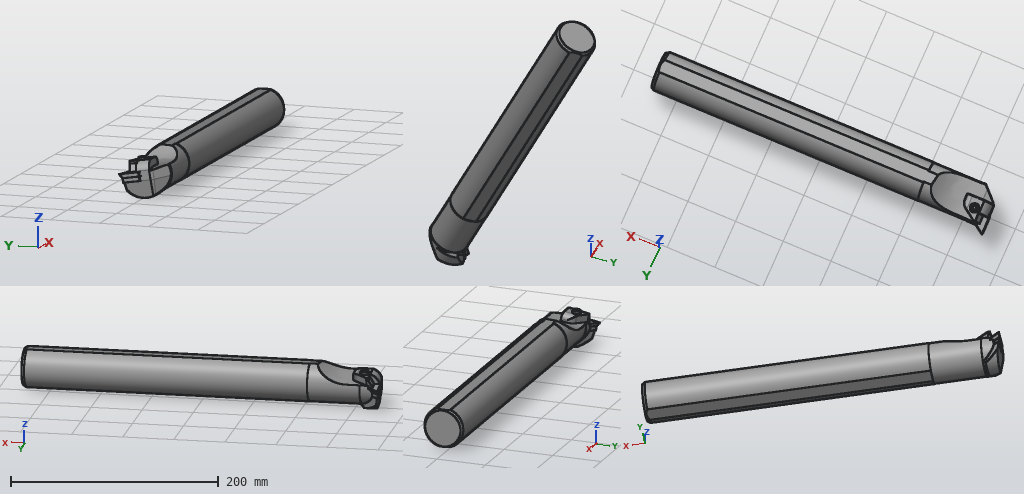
import cadquery as cq
import math

bar_length = 350.01
shank_radius = 20.0
shank_start = 70.0
flat_height = 18.87
neck_radius = 19.75
end_chamfer_length = 3.0
end_chamfer_depth = 1.8

head_radius = 22.61
head_center_y = 4.0
head_end = 18.8
head_chamfer = 3.0
collar_radius = 20.0

tip_y = 27.06
seat_angle = 9.5
insert_length = 19.5
insert_width = 10.0
insert_thickness = 4.3
insert_point_angle = 55.0
insert_relief = 2.6
point_drop = insert_width / math.tan(math.radians(insert_point_angle))

shim_thickness = 4.5
shim_setback = 0.3
shim_bottom = -insert_thickness - shim_thickness

front_setback = 1.0
front_facet_end_y = -3.5
narrow_facet_end_x = 3.0
narrow_facet_end_y = -6.5
nose_relief_angle = 10.0

deck_height = 2.0
deck_start = 12.0
scoop_start = 31.0
scoop_radius = 43.0
scoop_turn = 60.0

clamp_back = 28.0
clamp_side_y = -3.5
clamp_step_y = 10.0
clamp_top = 10.0
clamp_front_rise = 9.0
clamp_front_run = 8.5
clamp_front_bulge = 1.6
clamp_back_drop = 5.5
clamp_back_run = 7.5
clamp_back_bulge = 1.8
clamp_corner_radius = 10.0
finger_front = 6.0
finger_edge = 10.0
finger_back = 12.0
finger_y = 18.5
finger_top = 7.5

screw_x = 15.5
screw_y = 7.0
screw_diameter = 6.7
socket_diameter = 3.9
screw_rise = 2.3
socket_depth = 3.0
recess_diameter = 8.9
recess_depth = 1.0

reach = 100.0


def on_seat(shape):
    """Tilt a shape about the insert tip, from level to the slope of the insert seat."""
    return shape.rotate((0, tip_y, 0), (1, tip_y, 0), -seat_angle)


def level_plan(height):
    """Level drawing plane at the given height."""
    return cq.Workplane("XY").workplane(offset=height)


def upright_profile():
    """Start of a lengthwise profile that is extruded right across the part."""
    return cq.Workplane("XZ", origin=(0, reach, 0))


def insert_outline(relief):
    """Corners of the insert parallelogram, with its short side at the tip moved back by the relief."""
    return [
        (0, tip_y - relief),
        (0, tip_y - insert_length),
        (insert_width, tip_y - insert_length - point_drop),
        (insert_width, tip_y - point_drop - relief),
    ]


def make_insert():
    """Insert with parallelogram faces, its short side at the tip sloping in under the top face."""
    body = (
        level_plan(0)
        .polyline(insert_outline(0))
        .close()
        .workplane(offset=-insert_thickness)
        .polyline(insert_outline(insert_relief))
        .close()
        .loft(ruled=True, combine=True)
    )
    return on_seat(body)


def make_top_flat():
    """Everything below the flat on top of the bar."""
    return cq.Workplane("XY", origin=(0, 0, flat_height)).rect(2 * bar_length, reach).extrude(-reach)


def make_bar():
    """Round shank with a flat on top and below, and a slightly thinner neck in front of it."""
    shank = (
        cq.Workplane("XY")
        .moveTo(shank_start, 0)
        .lineTo(shank_start, shank_radius)
        .lineTo(bar_length - end_chamfer_length, shank_radius)
        .lineTo(bar_length, shank_radius - end_chamfer_depth)
        .lineTo(bar_length, 0)
        .close()
        .revolve(360, (0, 0, 0), (1, 0, 0))
    )
    shank_flats = cq.Workplane("XY").box(2 * bar_length, reach, 2 * flat_height)
    neck = cq.Workplane("YZ").circle(neck_radius).extrude(shank_start)
    return shank.intersect(shank_flats).union(neck.intersect(make_top_flat()))


def make_head():
    """Round head cut off along the short side of the insert, with a collar around the bar axis."""
    head = (
        cq.Workplane("YZ")
        .center(head_center_y, 0)
        .circle(head_radius)
        .extrude(head_end)
        .faces(">X")
        .chamfer(head_chamfer)
    )
    collar = cq.Workplane("YZ").circle(collar_radius).extrude(head_end)
    side_y = tip_y - insert_relief
    side_end_y = side_y - point_drop * head_end / insert_width
    side_limit = (
        level_plan(-reach)
        .polyline([(0, side_y), (head_end, side_end_y), (head_end, -reach), (0, -reach)])
        .close()
        .extrude(2 * reach)
    )
    return head.intersect(on_seat(side_limit)).union(collar).intersect(make_top_flat())


def make_nose_limit():
    """Front facets of the nose: upright above the shim bottom and relieved below it."""
    facet_run = reach + narrow_facet_end_y
    outline = [
        (front_setback, reach),
        (front_setback, front_facet_end_y),
        (narrow_facet_end_x, narrow_facet_end_y),
        (narrow_facet_end_x + facet_run, narrow_facet_end_y - facet_run),
        (2 * bar_length, narrow_facet_end_y - facet_run),
        (2 * bar_length, reach),
    ]
    upper = level_plan(shim_bottom).polyline(outline).close().extrude(reach)
    lower = (
        level_plan(shim_bottom).polyline(outline).close().extrude(-head_radius * 2, taper=nose_relief_angle)
    )
    return on_seat(upper.union(lower))


def run_out_point(turn):
    """Point on the round run-out, the given angle past the end of the deck."""
    return (
        scoop_start + scoop_radius * math.sin(turn),
        deck_height + scoop_radius * (1 - math.cos(turn)),
    )


def run_out_direction(turn):
    """Heading of the run-out at the given angle past the end of the deck."""
    return (math.cos(turn), math.sin(turn))


def make_scoop():
    """Space above the nose: a ramp up to the deck, then a round run-out through the bar top."""
    turn = math.radians(scoop_turn)
    deck_front = (deck_start, deck_height)
    deck_back = (scoop_start, deck_height)
    run_out_middle = run_out_point(turn / 2)
    run_out_end = run_out_point(turn)
    level = (1, 0)
    scoop = (
        upright_profile()
        .moveTo(-reach, 0)
        .lineTo(front_setback, 0)
        .lineTo(*deck_front)
        .spline(
            [deck_front, deck_back, run_out_middle, run_out_end],
            tangents=[level, level, run_out_direction(turn / 2), run_out_direction(turn)],
        )
        .lineTo(run_out_end[0], reach)
        .lineTo(-reach, reach)
        .close()
        .extrude(2 * reach)
    )
    return on_seat(scoop)


def make_shim():
    """Shim below the insert, flush with its underside outline and set slightly back."""
    shim = (
        level_plan(-insert_thickness)
        .polyline(insert_outline(insert_relief))
        .close()
        .extrude(-shim_thickness)
        .translate((shim_setback, 0, 0))
    )
    return on_seat(shim)


def make_insert_clearance():
    """Open space above the insert."""
    return on_seat(level_plan(0).polyline(insert_outline(0)).close().extrude(reach))


def make_clamp():
    """Clamp with a round front and back, and a finger that presses on the insert."""
    profile = (
        upright_profile()
        .moveTo(front_setback, 0)
        .lineTo(front_setback, clamp_top - clamp_front_rise)
        .sagittaArc((front_setback + clamp_front_run, clamp_top), clamp_front_bulge)
        .lineTo(clamp_back - clamp_back_run, clamp_top)
        .sagittaArc((clamp_back, clamp_top - clamp_back_drop), clamp_back_bulge)
        .lineTo(clamp_back, 0)
        .close()
        .extrude(2 * reach)
    )
    slant = (clamp_back - finger_back) * point_drop / insert_width
    plan = (
        level_plan(0)
        .polyline(
            [
                (front_setback, clamp_side_y),
                (front_setback, clamp_step_y),
                (finger_edge, clamp_step_y),
                (finger_edge, finger_y),
                (finger_back, finger_y),
                (clamp_back, finger_y - slant),
                (clamp_back, clamp_side_y),
            ]
        )
        .close()
        .extrude(clamp_top)
        .edges(cq.selectors.NearestToPointSelector((clamp_back, finger_y - slant, clamp_top / 2)))
        .fillet(clamp_corner_radius)
    )
    finger = (
        cq.Workplane("XZ", origin=(0, finger_y, 0))
        .polyline([(finger_front, 0), (finger_edge, finger_top), (finger_back, finger_top), (finger_back, 0)])
        .close()
        .extrude(finger_y - clamp_step_y)
    )
    recess = level_plan(clamp_top).center(screw_x, screw_y).circle(recess_diameter / 2).extrude(-recess_depth)
    screw = (
        level_plan(0)
        .center(screw_x, screw_y)
        .circle(screw_diameter / 2)
        .extrude(clamp_top + screw_rise)
        .faces(">Z")
        .workplane()
        .circle(socket_diameter / 2)
        .cutBlind(-socket_depth)
    )
    return on_seat(profile.intersect(plan).union(finger).cut(recess).union(screw))


insert = make_insert()
holder = (
    make_bar()
    .union(make_head())
    .intersect(make_nose_limit())
    .cut(make_scoop())
    .cut(make_insert_clearance())
    .union(make_shim())
    .union(make_clamp())
    .cut(insert)
)

result = cq.Compound.makeCompound([holder.val(), insert.val()])